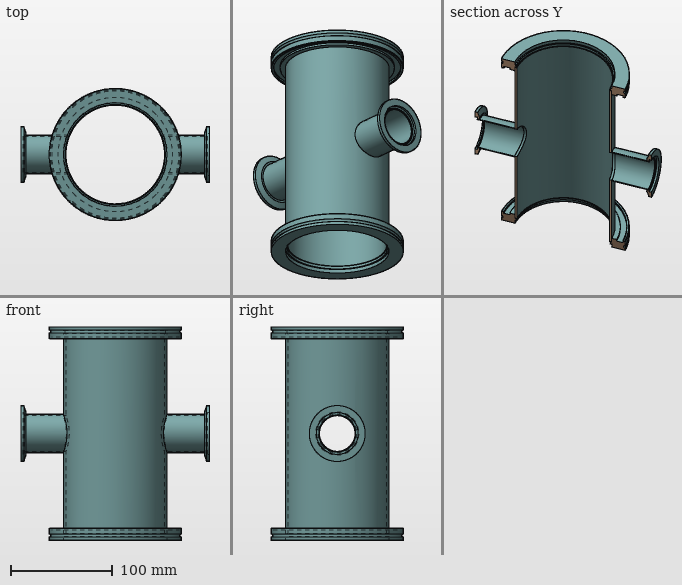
import cadquery as cq

overall_height = 209.8
main_outer_dia = 102.2
main_bore_dia = 97.0

flange_dia = 130.0
flange_thickness = 12.0
flange_bore_dia = 98.6
flange_recess_dia = 101.5
flange_recess_depth = 3.8
rim_thickness = 3.1
rim_groove_radius = 1.5
back_edge_chamfer = 0.6
back_recess_inner_dia = 112.5
back_recess_outer_dia = 125.0
back_recess_depth = 2.0
tube_socket_depth = 5.5

branch_span = 185.5
branch_outer_dia = 38.2
branch_bore_dia = 35.0

port_flange_dia = 55.0
port_flange_thickness = 5.0
port_rim_thickness = 3.0
port_cone_end_dia = 42.4
port_bore_dia = 36.3
port_recess_dia = 41.1
port_recess_depth = 2.3
port_socket_depth = 1.7

main_tube_length = overall_height - 2 * (flange_thickness - tube_socket_depth)
port_flange_back = branch_span / 2 - port_flange_thickness
branch_tube_end = port_flange_back + port_socket_depth


def make_main_tube():
    """Straight tube seated in both large flanges, with an opening for each branch."""
    tube = (
        cq.Workplane("XY", origin=(0, 0, -main_tube_length / 2))
        .circle(main_outer_dia / 2)
        .circle(main_bore_dia / 2)
        .extrude(main_tube_length)
    )
    cross_hole = cq.Workplane("YZ").circle(branch_bore_dia / 2).extrude(main_outer_dia / 2, both=True)
    return tube.cut(cross_hole)


def make_flange():
    """Large flange with its sealing face on Z = 0 and its body below."""
    bore_radius = flange_bore_dia / 2
    recess_radius = flange_recess_dia / 2
    outer_radius = flange_dia / 2
    socket_radius = main_outer_dia / 2
    groove_center = -rim_thickness - rim_groove_radius
    back_inner_radius = back_recess_inner_dia / 2
    back_outer_radius = back_recess_outer_dia / 2
    back_recess_floor = back_recess_depth - flange_thickness
    socket_floor = tube_socket_depth - flange_thickness
    return (
        cq.Workplane("XZ")
        .moveTo(recess_radius, 0)
        .lineTo(outer_radius, 0)
        .lineTo(outer_radius, -rim_thickness)
        .threePointArc(
            (outer_radius - rim_groove_radius, groove_center),
            (outer_radius, groove_center - rim_groove_radius),
        )
        .lineTo(outer_radius, back_edge_chamfer - flange_thickness)
        .lineTo(outer_radius - back_edge_chamfer, -flange_thickness)
        .lineTo(back_outer_radius, -flange_thickness)
        .lineTo(back_outer_radius, back_recess_floor)
        .lineTo(back_inner_radius, back_recess_floor)
        .lineTo(back_inner_radius, -flange_thickness)
        .lineTo(socket_radius, -flange_thickness)
        .lineTo(socket_radius, socket_floor)
        .lineTo(bore_radius, socket_floor)
        .lineTo(bore_radius, -flange_recess_depth)
        .lineTo(recess_radius, -flange_recess_depth)
        .close()
        .revolve(360, (0, 0), (0, 1))
    )


def make_branch_tube():
    """Branch tube on the +X side, cut to sit on the outside of the main tube."""
    tube = (
        cq.Workplane("YZ")
        .circle(branch_outer_dia / 2)
        .circle(branch_bore_dia / 2)
        .extrude(branch_tube_end)
    )
    saddle = cq.Workplane("XY").circle(main_outer_dia / 2).extrude(branch_outer_dia, both=True)
    return tube.cut(saddle)


def make_port_flange():
    """Small flange on the +X side, with a conical back."""
    face = branch_span / 2
    outer_radius = port_flange_dia / 2
    bore_radius = port_bore_dia / 2
    recess_radius = port_recess_dia / 2
    socket_radius = branch_outer_dia / 2
    return (
        cq.Workplane("XY")
        .moveTo(face, recess_radius)
        .lineTo(face, outer_radius)
        .lineTo(face - port_rim_thickness, outer_radius)
        .lineTo(port_flange_back, port_cone_end_dia / 2)
        .lineTo(port_flange_back, socket_radius)
        .lineTo(branch_tube_end, socket_radius)
        .lineTo(branch_tube_end, bore_radius)
        .lineTo(face - port_recess_depth, bore_radius)
        .lineTo(face - port_recess_depth, recess_radius)
        .close()
        .revolve(360, (0, 0), (1, 0))
    )


bodies = [make_main_tube().val()]

top_flange = make_flange().translate((0, 0, overall_height / 2))
for angle in (0, 180):
    bodies.append(top_flange.rotate((0, 0, 0), (1, 0, 0), angle).val())

for angle in (0, 180):
    for branch_part in (make_branch_tube(), make_port_flange()):
        bodies.append(branch_part.rotate((0, 0, 0), (0, 0, 1), angle).val())

result = cq.Compound.makeCompound(bodies)